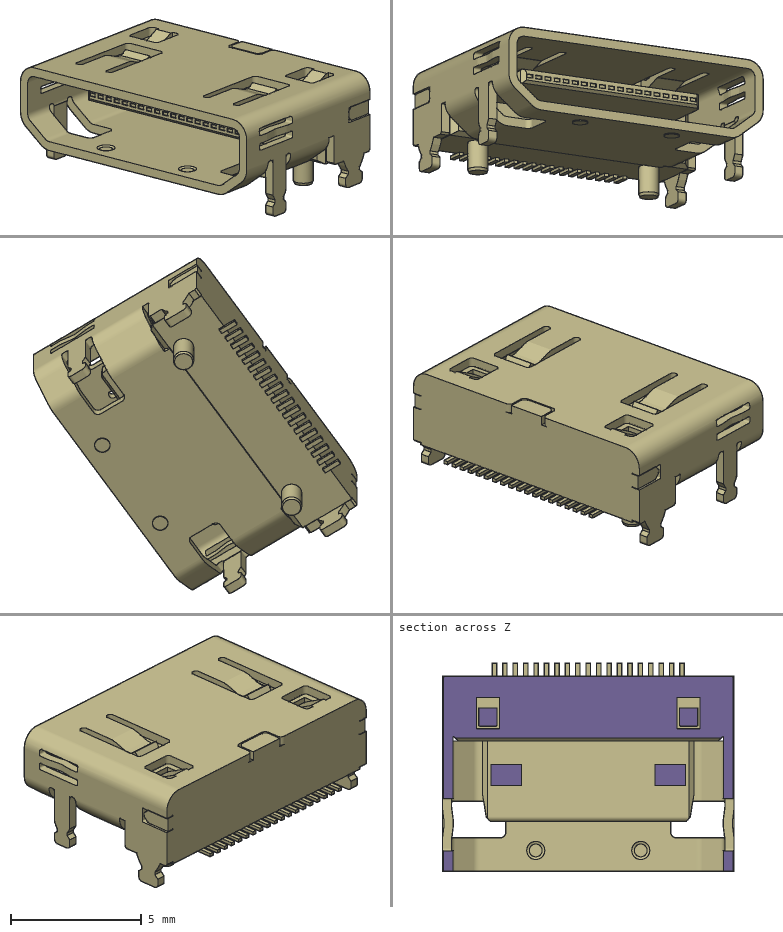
import cadquery as cq
import math

SHELL_WIDTH = 11.2
SHELL_HEIGHT = 3.19
SHELL_DEPTH = 7.5
SHEET = 0.36
BEND_RADIUS = 0.7
FLOOR_HALF_WIDTH = 4.41
SLOPE_TOP = 0.93
SLOPED_WALL_END = 5.02
FLOOR_END = 5.25
SIDE_RELIEF_TOP = 1.29

HALF_WIDTH = SHELL_WIDTH / 2
WALL_INSIDE = HALF_WIDTH - SHEET
CEILING = SHELL_HEIGHT - SHEET

LEG_BOTTOM = -1.04
FRONT_LEG_Y = 1.99
FRONT_LEG_WIDTH = 0.81
FRONT_NECK_WIDTH = 0.53
REAR_LEG_Y = 6.53
REAR_LEG_WIDTH = 1.01
REAR_NECK_WIDTH = 0.7
REAR_LEG_ROOT_WIDTH = 1.25
PANEL_START = 5.3
PANEL_BOTTOM = 0.1
PANEL_CORNER = 0.08
NECK_Z = -0.44
NECK_HEIGHT = 0.11
NECK_TAPER = 0.24
NECK_FLARE = 0.13
FOOT_RADIUS = 0.17
LEG_WINDOW_WIDTH = 1.39
LEG_WINDOW_REACH = 3.17
LEG_WINDOW_RADIUS = 0.2
LEG_SLOT_RADIUS = 0.12

SPRING_X = 3.15
SPRING_WIDTH = 1.19
SPRING_GAP = 0.3
SPRING_SLOT_RADIUS = 0.13
SPRING_WINDOW_REAR = 4.61
SPRING_WINDOW_FRONT = 1.39
SPRING_BEND_Y = 2.87
SPRING_TOP = [
    (2.87, 0.0), (3.07, 0.05), (3.62, 0.24), (3.84, 0.26), (4.1, 0.08),
]
SPRING_CORNER = 0.17

LATCH_X = 3.85
LATCH_WINDOW_WIDTH = 1.4
LATCH_WINDOW_FRONT = 5.29
LATCH_WINDOW_REAR = 6.68
LATCH_CORNER = 0.15
LATCH_WIDTH = 0.72
LATCH_ROOT_Y = 6.56
LATCH_TIP_Y = 5.57
LATCH_DROP = 0.5
LATCH_TIP_RADIUS = 0.08
POCKET_WIDTH = 0.87
POCKET_FRONT = 5.49
POCKET_FLOOR = 2.24

SIDE_SLOT_FRONT = 0.8
SIDE_SLOT_REAR = 2.8
SIDE_SLOT_HEIGHT = 0.28
SIDE_SLOT_RADIUS = 0.08
LOWER_SLOT_Z = 2.0
UPPER_SLOT_Z = 2.6
SIDE_SPRING_FRONT = 1.25
SIDE_SPRING_REAR = 2.44
SIDE_SPRING_BOW = 0.07
SIDE_SPRING_CREST = 0.12

HOUSING_FRONT = SLOPED_WALL_END
HOUSING_BOTTOM = 0.08
LEAD_IN_DEPTH = 0.22
FACE_HALF_WIDTH = 5.0
FACE_BOTTOM = 0.24
FACE_TOP = 2.58

KEY_GAP = 0.07
KEY_CORNER = 0.16
TOP_NOTCH_WIDTH = 1.62
TOP_NOTCH_FRONT = 6.66
TOP_NOTCH_RADIUS = 0.19
SIDE_NOTCH_FRONT = 6.22
SIDE_NOTCH_HEIGHT = 0.6
SIDE_NOTCH_Z = 1.88
SIDE_NOTCH_RADIUS = 0.05
SIDE_KEY_GAP = 0.02
SIDE_KEY_CORNER = 0.21
SIDE_KEY_RECESS = 0.07

TONGUE_HALF_WIDTH = 4.05
TONGUE_TIP = 1.92
TONGUE_BOTTOM = 1.58
TONGUE_TOP = 2.15
TONGUE_UPPER_EDGE = 0.19
TONGUE_LOWER_EDGE = 0.09
TONGUE_TAPER_LENGTH = 1.01
TONGUE_TAPER = 0.13
TIP_RADIUS = 0.18
TIP_END_BEVEL = 0.17
TIP_LOWER_BEVEL = 0.11
CONTACT_COUNT = 19
CONTACT_SPAN = 7.2
CONTACT_PITCH = CONTACT_SPAN / (CONTACT_COUNT - 1)
CONTACT_SLOT_WIDTH = 0.26
CONTACT_SLOT_HEIGHT = 0.13
CONTACT_SLOT_DEPTH = 0.06
CONTACT_SLOT_Z = 1.87
PIN_WIDTH = 0.18
PIN_START = 7.29
PIN_END = 8.0
PIN_TOP = 0.09
PIN_BOTTOM = -0.05

PEG_X = 3.76
PEG_Y = 5.7
PEG_DIAMETER = 0.78
PEG_BOTTOM = -1.11
PEG_TIP_HEIGHT = 0.11
PEG_TIP_TAPER = 0.05
DIMPLE_X = 2.02
DIMPLE_Y = 0.81
DIMPLE_BUMP_DIAMETER = 0.59
DIMPLE_RIM_DIAMETER = 0.7
DIMPLE_BASE_DIAMETER = 0.49
DIMPLE_DROP = 0.05


def box(x0, x1, y0, y1, z0, z1):
    """Box between two opposite corners."""
    return cq.Workplane("XY").box(x1 - x0, y1 - y0, z1 - z0, centered=False).translate((x0, y0, z0))


def both_sides(body):
    """The body together with its mirror image across X = 0."""
    return body.union(body.mirror("YZ"))


def bent_strip(face):
    """Closed outline of a sheet lying to the right of the polyline `face`."""
    normals = []
    for (u0, v0), (u1, v1) in zip(face, face[1:]):
        length = math.hypot(u1 - u0, v1 - v0)
        normals.append(((v1 - v0) / length, (u0 - u1) / length))
    before = [normals[0]] + normals
    after = normals + [normals[-1]]
    back = []
    for (u, v), (a, b), (c, d) in zip(face, before, after):
        miter = SHEET / (1 + a * c + b * d)
        back.append((u + (a + c) * miter, v + (b + d) * miter))
    return face + back[::-1]


def shell_tube():
    half_outline = [(FLOOR_HALF_WIDTH, 0), (HALF_WIDTH, SLOPE_TOP), (HALF_WIDTH, SHELL_HEIGHT)]
    outline = half_outline + [(-x, z) for x, z in reversed(half_outline)]
    solid = cq.Workplane("XZ").polyline(outline).close().extrude(-SHELL_DEPTH)
    solid = solid.edges("|Y").fillet(BEND_RADIUS)
    tube = solid.faces("<Y or >Y").shell(-SHEET)
    tube = tube.cut(both_sides(box(
        FLOOR_HALF_WIDTH - SHEET, HALF_WIDTH, SLOPED_WALL_END, SHELL_DEPTH, 0, SIDE_RELIEF_TOP)))
    tube = tube.cut(box(-HALF_WIDTH, HALF_WIDTH, FLOOR_END, SHELL_DEPTH, 0, SHEET))
    window_front = FRONT_LEG_Y - LEG_WINDOW_WIDTH / 2
    window_rear = FRONT_LEG_Y + LEG_WINDOW_WIDTH / 2
    window = box(
        LEG_WINDOW_REACH, HALF_WIDTH, window_front, window_rear, 0, SIDE_RELIEF_TOP - LEG_SLOT_RADIUS)
    window = window.edges("|Z and <X").fillet(LEG_WINDOW_RADIUS)
    leg_front = FRONT_LEG_Y - FRONT_LEG_WIDTH / 2
    leg_rear = FRONT_LEG_Y + FRONT_LEG_WIDTH / 2
    for y0, y1 in ((window_front, leg_front), (leg_rear, window_rear)):
        slot = box(FLOOR_HALF_WIDTH, HALF_WIDTH, y0, y1, SHEET, SIDE_RELIEF_TOP)
        window = window.union(slot.edges("|X and >Z").fillet(LEG_SLOT_RADIUS))
    return tube.cut(both_sides(window))


def leg(center_y, root_width, neck_width, foot_width, root_z, top_z):
    """Leg that narrows to a neck and ends in a rounded foot."""
    neck_top = NECK_Z + NECK_HEIGHT / 2
    neck_bottom = NECK_Z - NECK_HEIGHT / 2
    half = [
        (root_width / 2, top_z), (root_width / 2, root_z),
        (foot_width / 2, neck_top + NECK_TAPER),
        (neck_width / 2, neck_top), (neck_width / 2, neck_bottom),
        (foot_width / 2, neck_bottom - NECK_FLARE),
        (foot_width / 2, LEG_BOTTOM),
    ]
    outline = half + [(-y, z) for y, z in reversed(half)]
    body = cq.Workplane("YZ", (WALL_INSIDE, center_y, 0)).polyline(outline).close().extrude(SHEET)
    return body.edges("|X and <Z").fillet(FOOT_RADIUS)


def legs():
    front = leg(
        FRONT_LEG_Y, FRONT_LEG_WIDTH, FRONT_NECK_WIDTH, FRONT_LEG_WIDTH, 0, SIDE_RELIEF_TOP)
    panel = box(WALL_INSIDE, HALF_WIDTH, PANEL_START, SHELL_DEPTH, PANEL_BOTTOM, SIDE_RELIEF_TOP)
    panel = panel.edges("|X and <Z").chamfer(PANEL_CORNER)
    rear = leg(
        REAR_LEG_Y, REAR_LEG_ROOT_WIDTH, REAR_NECK_WIDTH, REAR_LEG_WIDTH,
        PANEL_BOTTOM, PANEL_BOTTOM + SHEET)
    return both_sides(front.union(panel).union(rear))


def add_top_springs(shell):
    """U-shaped openings in the top, each with a tongue that dips and curls up."""
    window_half = SPRING_WIDTH / 2 + SPRING_GAP
    window = box(
        SPRING_X - window_half, SPRING_X + window_half,
        SPRING_BEND_Y, SPRING_WINDOW_REAR, CEILING, SHELL_HEIGHT)
    window = window.edges("|Z and >Y").fillet(SPRING_CORNER)
    for side in (-1, 1):
        slot_x = SPRING_X + side * (SPRING_WIDTH + SPRING_GAP) / 2
        slot = box(
            slot_x - SPRING_GAP / 2, slot_x + SPRING_GAP / 2,
            SPRING_WINDOW_FRONT, SPRING_BEND_Y, CEILING, SHELL_HEIGHT)
        window = window.union(slot.edges("|Z and <Y").fillet(SPRING_SLOT_RADIUS))

    upper_face = [(y, SHELL_HEIGHT - drop) for y, drop in SPRING_TOP]
    strip = (
        cq.Workplane("YZ", (SPRING_X - SPRING_WIDTH / 2, 0, 0))
        .polyline(bent_strip(upper_face)).close().extrude(SPRING_WIDTH)
    )
    tip_y = strip.val().BoundingBox().ymax
    plan = box(
        SPRING_X - SPRING_WIDTH / 2, SPRING_X + SPRING_WIDTH / 2, SPRING_BEND_Y, tip_y, 0, SHELL_HEIGHT)
    strip = strip.intersect(plan.edges("|Z and >Y").fillet(SPRING_CORNER))
    return shell.cut(both_sides(window)).union(both_sides(strip))


def add_latches(shell):
    """Rear openings, each with a tab bent down into the housing."""
    window = box(
        LATCH_X - LATCH_WINDOW_WIDTH / 2, LATCH_X + LATCH_WINDOW_WIDTH / 2,
        LATCH_WINDOW_FRONT, LATCH_WINDOW_REAR, CEILING, SHELL_HEIGHT)
    window = window.edges("|Z").fillet(LATCH_CORNER)
    tip_z = SHELL_HEIGHT - LATCH_DROP
    tab_outline = [
        (LATCH_WINDOW_REAR, SHELL_HEIGHT), (LATCH_ROOT_Y, SHELL_HEIGHT), (LATCH_TIP_Y, tip_z),
        (LATCH_TIP_Y, tip_z - SHEET), (LATCH_ROOT_Y, CEILING), (LATCH_WINDOW_REAR, CEILING),
    ]
    tab = (
        cq.Workplane("YZ", (LATCH_X - LATCH_WIDTH / 2, 0, 0))
        .polyline(tab_outline).close().extrude(LATCH_WIDTH)
    )
    tab = tab.edges("|Z and <Y").fillet(LATCH_TIP_RADIUS)
    return shell.cut(both_sides(window)).union(both_sides(tab))


def add_side_springs(shell):
    """Two slots per side wall; the strip between them bows inward."""
    for slot_z in (LOWER_SLOT_Z, UPPER_SLOT_Z):
        slot = box(
            FLOOR_HALF_WIDTH, HALF_WIDTH, SIDE_SLOT_FRONT, SIDE_SLOT_REAR,
            slot_z - SIDE_SLOT_HEIGHT / 2, slot_z + SIDE_SLOT_HEIGHT / 2)
        shell = shell.cut(both_sides(slot.edges("|X").fillet(SIDE_SLOT_RADIUS)))
    strip_bottom = LOWER_SLOT_Z + SIDE_SLOT_HEIGHT / 2
    strip_top = UPPER_SLOT_Z - SIDE_SLOT_HEIGHT / 2
    flat = box(
        WALL_INSIDE, HALF_WIDTH, SIDE_SPRING_FRONT, SIDE_SPRING_REAR, strip_bottom, strip_top)
    middle = (SIDE_SPRING_FRONT + SIDE_SPRING_REAR) / 2
    crest_x = HALF_WIDTH - SIDE_SPRING_BOW
    outer_face = [
        (HALF_WIDTH, SIDE_SLOT_REAR), (HALF_WIDTH, SIDE_SPRING_REAR),
        (crest_x, middle + SIDE_SPRING_CREST / 2), (crest_x, middle - SIDE_SPRING_CREST / 2),
        (HALF_WIDTH, SIDE_SPRING_FRONT), (HALF_WIDTH, SIDE_SLOT_FRONT),
    ]
    bowed = (
        cq.Workplane("XY", (0, 0, strip_bottom))
        .polyline(bent_strip(outer_face)).close().extrude(strip_top - strip_bottom)
    )
    return shell.cut(both_sides(flat)).union(both_sides(bowed))


def cut_key_notches(shell):
    """Notches at the rear edge of the top and of both side walls."""
    half = TOP_NOTCH_WIDTH / 2
    notch = box(-half, half, TOP_NOTCH_FRONT, SHELL_DEPTH, CEILING, SHELL_HEIGHT)
    notch = notch.edges("|Z and <Y").fillet(TOP_NOTCH_RADIUS)
    flare = (
        cq.Workplane("XY", (0, 0, CEILING))
        .moveTo(half, SHELL_DEPTH - TOP_NOTCH_RADIUS)
        .radiusArc((half + TOP_NOTCH_RADIUS, SHELL_DEPTH), TOP_NOTCH_RADIUS)
        .lineTo(half, SHELL_DEPTH).close().extrude(SHEET)
    )
    side = box(
        WALL_INSIDE, HALF_WIDTH, SIDE_NOTCH_FRONT, SHELL_DEPTH,
        SIDE_NOTCH_Z - SIDE_NOTCH_HEIGHT / 2, SIDE_NOTCH_Z + SIDE_NOTCH_HEIGHT / 2)
    side = side.edges("|X and <Y").fillet(SIDE_NOTCH_RADIUS)
    return shell.cut(notch).cut(both_sides(flare)).cut(both_sides(side))


def add_dimples(shell):
    """Round dents pressed down through the floor."""
    for x in (-DIMPLE_X, DIMPLE_X):
        bump = (
            cq.Workplane("XY", (x, DIMPLE_Y, 0)).circle(DIMPLE_BUMP_DIAMETER / 2).extrude(-DIMPLE_DROP)
        )
        dent = cq.Solid.makeCone(
            DIMPLE_BASE_DIAMETER / 2, DIMPLE_RIM_DIAMETER / 2, DIMPLE_DROP,
            pnt=cq.Vector(x, DIMPLE_Y, SHEET - DIMPLE_DROP))
        shell = shell.union(bump).cut(cq.Workplane(dent))
    return shell


def housing_block():
    lead_in = (
        cq.Workplane("XZ", (0, HOUSING_FRONT, 0))
        .center(0, (FACE_BOTTOM + FACE_TOP) / 2)
        .rect(2 * FACE_HALF_WIDTH, FACE_TOP - FACE_BOTTOM)
        .workplane(offset=-LEAD_IN_DEPTH)
        .center(0, (HOUSING_BOTTOM + CEILING - FACE_BOTTOM - FACE_TOP) / 2)
        .rect(2 * WALL_INSIDE, CEILING - HOUSING_BOTTOM)
        .loft(ruled=True)
    )
    block = box(
        -WALL_INSIDE, WALL_INSIDE, HOUSING_FRONT + LEAD_IN_DEPTH, SHELL_DEPTH, HOUSING_BOTTOM, CEILING)
    pocket = box(
        LATCH_X - POCKET_WIDTH / 2, LATCH_X + POCKET_WIDTH / 2,
        POCKET_FRONT, LATCH_WINDOW_REAR, POCKET_FLOOR, CEILING)
    return block.union(lead_in).cut(both_sides(pocket))


def keys():
    """Raised keys of the housing that sit in the shell notches."""
    half = TOP_NOTCH_WIDTH / 2 - KEY_GAP
    top = box(-half, half, TOP_NOTCH_FRONT + KEY_GAP, SHELL_DEPTH, CEILING, SHELL_HEIGHT)
    top = top.edges("|Z and <Y").chamfer(KEY_CORNER)
    side_half = SIDE_NOTCH_HEIGHT / 2 - SIDE_KEY_GAP
    side = box(
        WALL_INSIDE, HALF_WIDTH - SIDE_KEY_RECESS,
        SIDE_NOTCH_FRONT + SIDE_KEY_GAP, SHELL_DEPTH,
        SIDE_NOTCH_Z - side_half, SIDE_NOTCH_Z + side_half)
    side = side.edges("|X and <Y").chamfer(SIDE_KEY_CORNER)
    return top.union(both_sides(side))


def tongue():
    tip_half_width = TONGUE_HALF_WIDTH - TONGUE_TAPER
    half_plan = [
        (TONGUE_HALF_WIDTH, HOUSING_FRONT), (TONGUE_HALF_WIDTH, TONGUE_TIP + TONGUE_TAPER_LENGTH),
        (tip_half_width, TONGUE_TIP + TIP_END_BEVEL), (tip_half_width - TIP_END_BEVEL, TONGUE_TIP),
    ]
    plan = half_plan + [(-x, y) for x, y in reversed(half_plan)]
    body = (
        cq.Workplane("XY", (0, 0, TONGUE_BOTTOM))
        .polyline(plan).close().extrude(TONGUE_TOP - TONGUE_BOTTOM)
    )
    envelope = box(
        -TONGUE_HALF_WIDTH, TONGUE_HALF_WIDTH, TONGUE_TIP, HOUSING_FRONT, TONGUE_BOTTOM, TONGUE_TOP)
    beveled_sides = envelope.edges("|Y and >Z").chamfer(TONGUE_UPPER_EDGE)
    beveled_sides = beveled_sides.edges("|Y and <Z").chamfer(TONGUE_LOWER_EDGE)
    shaped_tip = envelope.edges("|X and <Y and >Z").fillet(TIP_RADIUS)
    shaped_tip = shaped_tip.edges("|X and <Z and <Y").chamfer(TIP_LOWER_BEVEL)
    body = body.intersect(beveled_sides).intersect(shaped_tip)
    slots = (
        cq.Workplane("XZ", (0, TONGUE_TIP, CONTACT_SLOT_Z))
        .rarray(CONTACT_PITCH, 0.11, CONTACT_COUNT, 1)
        .rect(CONTACT_SLOT_WIDTH, CONTACT_SLOT_HEIGHT).extrude(-CONTACT_SLOT_DEPTH)
    )
    return body.cut(slots)


def contact_pins():
    return (
        cq.Workplane("XY", (0, (PIN_START + PIN_END) / 2, PIN_BOTTOM))
        .rarray(CONTACT_PITCH, 0.11, CONTACT_COUNT, 1)
        .rect(PIN_WIDTH, PIN_END - PIN_START).extrude(PIN_TOP - PIN_BOTTOM)
    )


def pegs():
    body = (
        cq.Workplane("XY", (0, PEG_Y, PEG_BOTTOM))
        .pushPoints([(-PEG_X, 0), (PEG_X, 0)])
        .circle(PEG_DIAMETER / 2).extrude(HOUSING_BOTTOM - PEG_BOTTOM)
    )
    return body.faces("<Z").edges().chamfer(PEG_TIP_HEIGHT, PEG_TIP_TAPER)


shell = shell_tube().union(legs())
shell = add_top_springs(shell)
shell = add_latches(shell)
shell = add_side_springs(shell)
shell = cut_key_notches(shell)
shell = add_dimples(shell)

result = (
    shell.union(housing_block()).union(keys()).union(tongue()).union(contact_pins()).union(pegs())
)